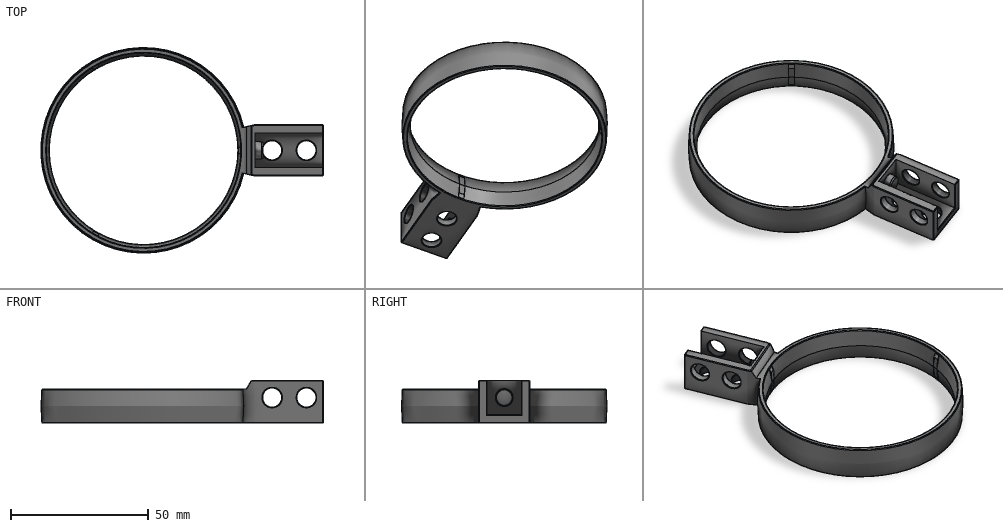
import cadquery as cq
import math

block = 12.5
wall = block / 4
edge_break = 0.3

ring_radius = 3 * block
ring_height = block
ring_bulge = 0.3
rim_inner_radius = 35.45
rim_outer_radius = ring_radius - ring_bulge
rim_middle_radius = (rim_inner_radius + rim_outer_radius) / 2
waist_radius = ring_radius - wall

rib_count = 3
rib_width = 2.2
rib_end_margin = 0.5
rib_ramp_height = 1.45
rib_shoulder_radius = 34.65

hole_count = 2
hole_diameter = 7.0
hole_break = 0.25
slot_width = block
slot_start = ring_radius + wall
clevis_end = slot_start + hole_count * block
clevis_half_width = slot_width / 2 + wall
clevis_height = block + wall
slope_angle = 30.0
hole_height = wall + block / 2

peg_base_diameter = 6.5
peg_shoulder_diameter = 6.2
peg_tip_diameter = 5.7
peg_length = 2.9
peg_tip_length = 0.6


def make_ring():
    """Revolve the wall section: bowed outside, double cone inside."""
    middle = ring_height / 2
    upper_break = ring_height - edge_break
    quarter_radius = ring_radius - ring_bulge / 4
    section = (
        cq.Workplane("XZ")
        .moveTo(rim_inner_radius + edge_break, 0)
        .lineTo(rim_outer_radius - edge_break, 0)
        .lineTo(rim_outer_radius, edge_break)
        .threePointArc((quarter_radius, (middle + edge_break) / 2), (ring_radius, middle))
        .threePointArc((quarter_radius, (middle + upper_break) / 2), (rim_outer_radius, upper_break))
        .lineTo(rim_outer_radius - edge_break, ring_height)
        .lineTo(rim_inner_radius + edge_break, ring_height)
        .lineTo(rim_inner_radius, upper_break)
        .lineTo(waist_radius, middle)
        .lineTo(rim_inner_radius, edge_break)
        .close()
    )
    return section.revolve(360, (0, 0, 0), (0, 1, 0)).rotate((0, 0, 0), (0, 0, 1), 180)


def make_rib():
    """Rib on the +X side of the ring, flush with the waist and sloped at both ends."""
    ramp_top = ring_height - rib_end_margin
    ramp_bottom = rib_end_margin
    section = [
        (rim_middle_radius, ramp_bottom),
        (rim_inner_radius, ramp_bottom),
        (rib_shoulder_radius, ramp_bottom + rib_ramp_height),
        (waist_radius, ring_height / 2),
        (rib_shoulder_radius, ramp_top - rib_ramp_height),
        (rim_inner_radius, ramp_top),
        (rim_middle_radius, ramp_top),
    ]
    return cq.Workplane("XZ").polyline(section).close().extrude(rib_width / 2, both=True)


def make_clevis():
    """Solid clevis body with a radial neck that ends inside the ring wall."""
    neck_start = waist_radius
    neck_half_width = clevis_half_width * neck_start / slot_start
    outline = [
        (neck_start, -neck_half_width),
        (slot_start, -clevis_half_width),
        (clevis_end, -clevis_half_width),
        (clevis_end, clevis_half_width),
        (slot_start, clevis_half_width),
        (neck_start, neck_half_width),
    ]
    slope_run = (clevis_height - ring_height) * math.tan(math.radians(slope_angle))
    profile = [
        (neck_start, 0),
        (clevis_end, 0),
        (clevis_end, clevis_height),
        (ring_radius + slope_run, clevis_height),
        (ring_radius, ring_height),
        (neck_start, ring_height),
    ]
    plan = cq.Workplane("XY").polyline(outline).close().extrude(clevis_height)
    side = cq.Workplane("XZ").polyline(profile).close().extrude(clevis_half_width, both=True)
    bore = cq.Workplane("XY").circle(rim_middle_radius).extrude(clevis_height)
    body = plan.intersect(side).cut(bore)
    top_edges = body.faces(">Z").edges("not >X").vals()
    bottom_edges = body.faces("<Z").edges("not (>X or <X)").vals()
    return body.newObject(top_edges + bottom_edges).chamfer(edge_break)


def cut_slot(body):
    """Open the clevis towards +X and break every edge of its end face."""
    slot_length = clevis_end - slot_start
    slot = (
        cq.Workplane("XY").workplane(offset=wall)
        .center(slot_start + slot_length / 2, 0)
        .rect(slot_length, slot_width).extrude(clevis_height)
    )
    return body.cut(slot).faces(">X").edges().chamfer(edge_break)


def make_hole():
    """Cutter along Z for one wall thickness, centred on the origin, flared at both ends."""
    half = wall / 2
    radius = hole_diameter / 2
    section = [
        (0, -half),
        (radius + hole_break, -half),
        (radius, -half + hole_break),
        (radius, half - hole_break),
        (radius + hole_break, half),
        (0, half),
    ]
    return cq.Workplane("XZ").polyline(section).close().revolve(360, (0, 0, 0), (0, 1, 0))


def cut_holes(body):
    """Holes through the floor and both legs at each block position."""
    upright = make_hole()
    cross = upright.rotate((0, 0, 0), (1, 0, 0), 90)
    leg_middle = (slot_width + wall) / 2
    for i in range(hole_count):
        x = slot_start + block * (i + 0.5)
        body = body.cut(upright.translate((x, 0, wall / 2)))
        for y in (-leg_middle, leg_middle):
            body = body.cut(cross.translate((x, y, hole_height)))
    return body


def make_peg():
    """Tapered peg along X with a chamfered tip, rooted in the back wall."""
    root = slot_start - wall / 2
    tip = slot_start + peg_length
    section = [
        (root, 0),
        (root, peg_base_diameter / 2),
        (slot_start, peg_base_diameter / 2),
        (tip - peg_tip_length, peg_shoulder_diameter / 2),
        (tip, peg_tip_diameter / 2),
        (tip, 0),
    ]
    peg = cq.Workplane("XY").polyline(section).close().revolve(360, (0, 0, 0), (1, 0, 0))
    return peg.translate((0, 0, hole_height))


clevis = cut_holes(cut_slot(make_clevis())).union(make_peg())
result = make_ring().union(clevis)
for i in range(rib_count):
    result = result.union(make_rib().rotate((0, 0, 0), (0, 0, 1), i * 360 / rib_count))